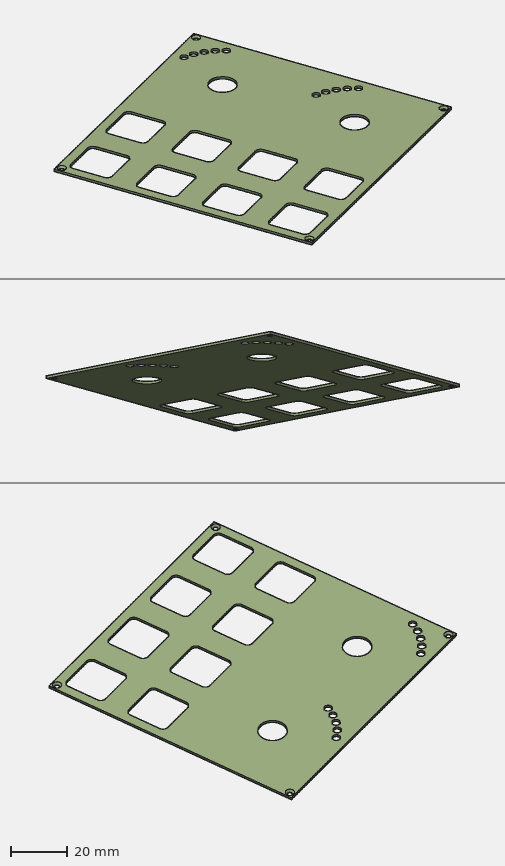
import cadquery as cq
import math

plate_side = 104.35
plate_thickness = 1.0
plate_corner_radius = 0.05

key_columns = 4
key_rows = 2
grid_pitch = 26.725
key_opening = 16.735
key_corner_radius = 2.12

knob_diameter = 10.5
knob_offset = grid_pitch

led_diameter = 3.0
led_count = 5
led_arc_radius = 23.0
led_arc_middle_angle = 135.0
led_angle_step = 10.0

screw_diameter = 1.75
screw_head_diameter = 3.27
screw_head_angle = 90.0
screw_offset = 50.11

knob_centers = [(side * knob_offset, knob_offset) for side in (-1, 1)]


def make_plate():
    """Square plate with rounded corners, centred on the origin, with its underside at Z = 0."""
    return (
        cq.Workplane("XY")
        .rect(plate_side, plate_side)
        .extrude(plate_thickness)
        .edges("|Z")
        .fillet(plate_corner_radius)
    )


def key_cutter():
    """Rounded square prisms for the key openings, in the lower half of the plate."""
    first_column_x = -grid_pitch * (key_columns - 1) / 2
    first_row_y = -grid_pitch / 2
    centers = [
        (first_column_x + column * grid_pitch, first_row_y - row * grid_pitch)
        for column in range(key_columns)
        for row in range(key_rows)
    ]
    return (
        cq.Workplane("XY")
        .pushPoints(centers)
        .rect(key_opening, key_opening)
        .extrude(plate_thickness)
        .edges("|Z")
        .fillet(key_corner_radius)
    )


def led_centers(knob_center):
    """Hole centres on an arc around one knob, spread evenly about the middle angle."""
    knob_x, knob_y = knob_center
    centers = []
    for index in range(led_count):
        steps_from_middle = index - (led_count - 1) / 2
        angle = math.radians(led_arc_middle_angle + steps_from_middle * led_angle_step)
        x = knob_x + led_arc_radius * math.cos(angle)
        y = knob_y + led_arc_radius * math.sin(angle)
        centers.append((x, y))
    return centers


def drill_knob_holes(plate):
    return plate.faces(">Z").workplane(origin=(0, 0, 0)).pushPoints(knob_centers).hole(knob_diameter)


def drill_led_holes(plate):
    for knob_center in knob_centers:
        top = plate.faces(">Z").workplane(origin=(0, 0, 0))
        plate = top.pushPoints(led_centers(knob_center)).hole(led_diameter)
    return plate


def drill_screw_holes(plate):
    """Screw holes at the four corners, countersunk from the top."""
    return (
        plate.faces(">Z")
        .workplane(origin=(0, 0, 0))
        .rect(2 * screw_offset, 2 * screw_offset, forConstruction=True)
        .vertices()
        .cskHole(screw_diameter, screw_head_diameter, screw_head_angle)
    )


plate = make_plate().cut(key_cutter())
plate = drill_knob_holes(plate)
plate = drill_led_holes(plate)
result = drill_screw_holes(plate)